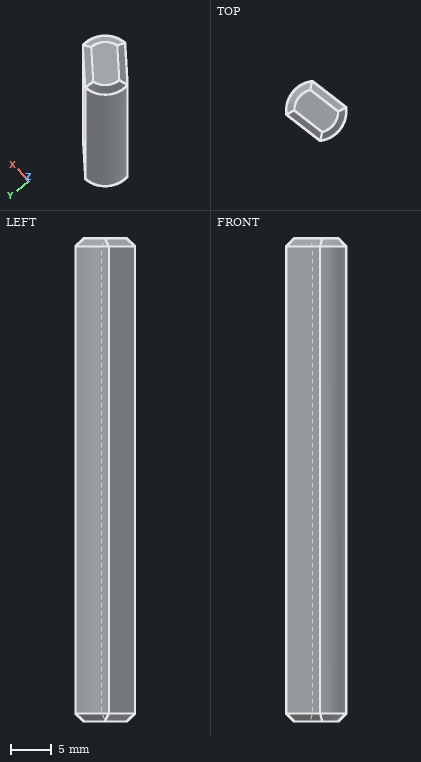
import cadquery as cq

length = 60.0
diameter = 7.5
across_flats = 5.3
flat_angle = -37.8
end_chamfer = 1.0

round_bar = cq.Workplane("XY").circle(diameter / 2).extrude(length)

flats_slab = (
    cq.Workplane("XY")
    .rect(2 * diameter, across_flats)
    .extrude(length)
    .rotate((0, 0, 0), (0, 0, 1), flat_angle)
)

flatted_bar = round_bar.intersect(flats_slab)
result = flatted_bar.faces("<Z or >Z").chamfer(end_chamfer)